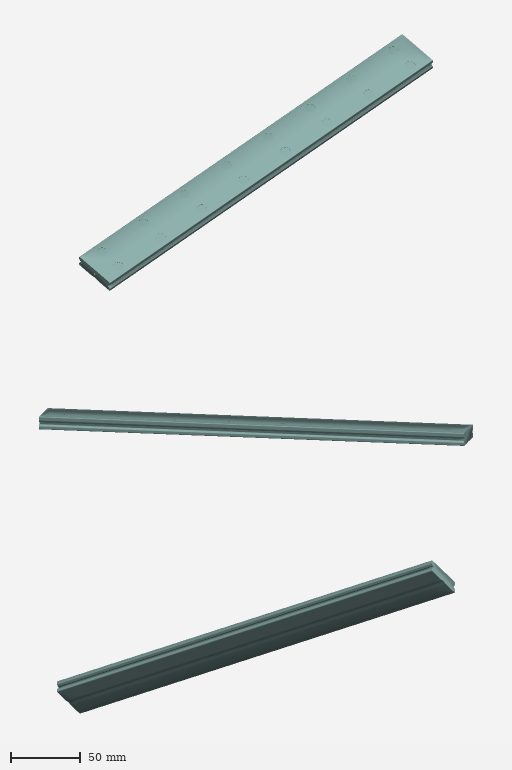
import cadquery as cq

length = 310.0
width = 33.0
height = 9.3

edge_radius = 0.5

track_height = 4.3
track_mouth = 4.0
flank_depth = 1.2

relief_depth = 2.2

recess_diameter = 7.5
recess_depth = 0.15
recess_count = 8
recess_pitch = 40.0
row_spacing = 18.0

end_hole_diameter = 2.0
end_hole_depth = 6.2
end_hole_height = 4.5

bottom_groove_width = 6.2
bottom_groove_depth = 0.5


def make_body():
    """Plain bar, centred in X and Y, standing on Z = 0."""
    return cq.Workplane("XY").box(width, length, height, centered=(True, True, False))


def make_track(side):
    """Full-length cutter for a V groove with its relief slot; side is -1 or +1 along X."""
    half_mouth = track_mouth / 2
    half_relief = half_mouth - flank_depth
    flank_end = -side * flank_depth
    relief_end = -side * relief_depth
    return (
        cq.Workplane("XZ", origin=(side * width / 2, length / 2, track_height))
        .moveTo(0, -half_mouth)
        .lineTo(flank_end, -half_relief)
        .lineTo(relief_end, -half_relief)
        .lineTo(relief_end, half_relief)
        .lineTo(flank_end, half_relief)
        .lineTo(0, half_mouth)
        .close()
        .extrude(length)
    )


def round_side_edges(rail):
    """Round every long edge of the left and right side faces, including the track mouths."""
    return rail.faces("<X or >X").edges("|Y").fillet(edge_radius)


def make_recesses():
    """Cutters for both rows of top recesses."""
    return (
        cq.Workplane("XY", origin=(0, 0, height - recess_depth))
        .rarray(row_spacing, recess_pitch, 2, recess_count)
        .circle(recess_diameter / 2)
        .extrude(recess_depth)
    )


def make_end_hole():
    """Cutter for the blind hole, running from the front end face into the bar."""
    return (
        cq.Workplane("XZ", origin=(0, -length / 2, end_hole_height))
        .circle(end_hole_diameter / 2)
        .extrude(-end_hole_depth)
    )


def make_bottom_groove():
    """Cutter for the V groove along the bottom face."""
    half_width = bottom_groove_width / 2
    return (
        cq.Workplane("XZ", origin=(0, length / 2, 0))
        .polyline([(-half_width, 0), (0, bottom_groove_depth), (half_width, 0)])
        .close()
        .extrude(length)
    )


result = make_body()
for side in (-1, 1):
    result = result.cut(make_track(side))
result = round_side_edges(result)
result = result.cut(make_recesses())
result = result.cut(make_end_hole())
result = result.cut(make_bottom_groove())